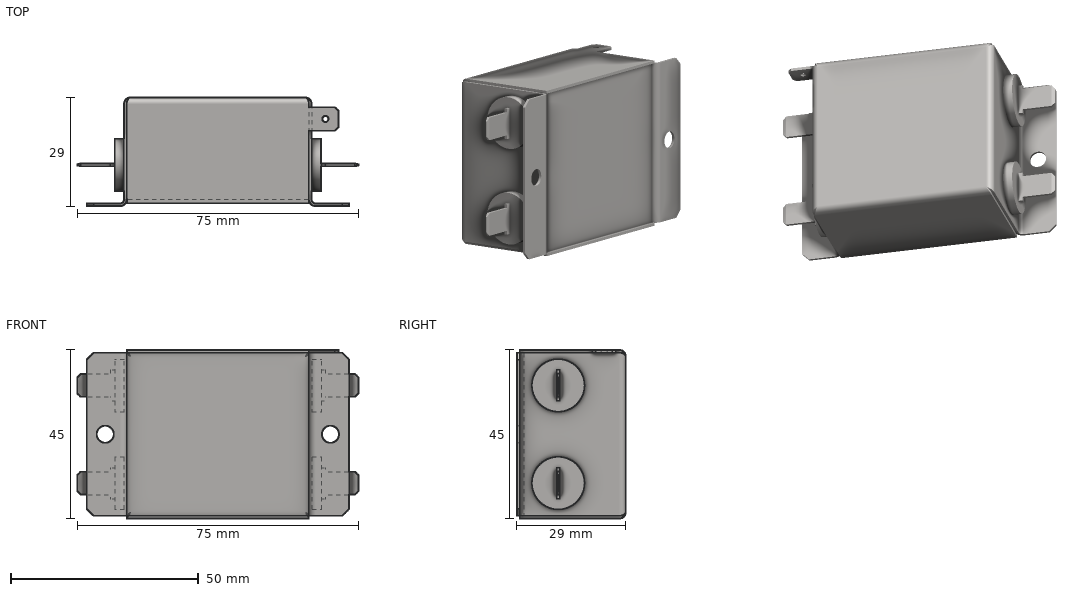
import cadquery as cq

overall_length = 75.0
overall_depth = 29.0
overall_height = 45.0
sheet = 0.75
can_length = 50.0
bend_radius = 1.8
inner_bend_radius = bend_radius - sheet
core_length = can_length - 2 * sheet
core_height = overall_height - 2 * sheet
bend_start = overall_depth - bend_radius

flange_span = 70.0
flange_corner = 1.9
mounting_hole_diameter = 4.5
mounting_hole_spacing = 60.0

ground_tab_tip = 32.2
ground_tab_width = 6.3
ground_tab_center = 23.25
ground_tab_corner = 1.0
ground_hole_diameter = 1.6
ground_hole_inset = 3.5

terminal_center = 11.0
terminal_spacing = 26.0
bushing_diameter = 14.0
bushing_height = 2.5
blade_thickness = 0.8
blade_width = 6.15
blade_corner = 1.0
blade_tip_bevel = 0.26
shoulder_width = 8.25
shoulder_height = 1.1


def block(length, height, y_start, y_end):
    """Box centred in X and Z between two Y positions."""
    depth = y_end - y_start
    return cq.Workplane("XY").box(length, depth, height).translate((0, y_start + depth / 2, 0))


def tapered_block(plane, width, span):
    """Can-deep block, width across and span along the plane's normal.

    Its back corners are quarter ellipses, so a wall trimmed to it narrows as it bends.
    """
    half_width = width / 2
    return (
        cq.Workplane(plane)
        .workplane(offset=-span / 2)
        .moveTo(half_width, sheet)
        .lineTo(half_width, bend_start)
        .ellipseArc(inner_bend_radius, bend_radius, 0, 90, sense=1)
        .lineTo(inner_bend_radius - half_width, overall_depth)
        .ellipseArc(inner_bend_radius, bend_radius, 90, 180, sense=1)
        .lineTo(-half_width, sheet)
        .close()
        .extrude(span)
    )


def can():
    envelope = block(can_length, overall_height, sheet, overall_depth)
    bent_ends = envelope.edges("|Z and >Y").fillet(bend_radius)
    bent_sides = envelope.edges("|X and >Y").fillet(bend_radius)

    end_walls = bent_ends.intersect(tapered_block("ZY", core_height, can_length))
    side_plates = bent_sides.intersect(tapered_block("XY", core_length, overall_height))

    front_recess = block(can_length, core_height, sheet, bend_radius)
    return end_walls.union(side_plates).cut(front_recess)


def flange():
    """+X mounting flange with the bend that joins it to the end wall."""
    bend_x = can_length / 2 - sheet + bend_radius
    tip_x = flange_span / 2
    plate = (
        cq.Workplane("XZ")
        .center((bend_x + tip_x) / 2, 0)
        .rect(tip_x - bend_x, core_height)
        .extrude(-sheet)
        .edges("|Y and >X")
        .chamfer(flange_corner)
    )
    hole = (
        cq.Workplane("XZ")
        .center(mounting_hole_spacing / 2, 0)
        .circle(mounting_hole_diameter / 2)
        .extrude(-sheet)
    )
    bend = (
        cq.Workplane("XY", origin=(bend_x, bend_radius, -core_height / 2))
        .moveTo(-bend_radius, 0)
        .radiusArc((0, -bend_radius), -bend_radius)
        .lineTo(0, -inner_bend_radius)
        .radiusArc((-inner_bend_radius, 0), inner_bend_radius)
        .close()
        .extrude(core_height)
    )
    return plate.cut(hole).union(bend)


def ground_tab():
    root_x = core_length / 2 - sheet
    length = ground_tab_tip - root_x
    tab = (
        cq.Workplane("XY", origin=(root_x + length / 2, ground_tab_center, core_height / 2))
        .rect(length, ground_tab_width)
        .extrude(sheet)
        .edges("|Z and >X")
        .chamfer(ground_tab_corner)
    )
    hole = (
        cq.Workplane("XY", origin=(ground_tab_tip - ground_hole_inset, ground_tab_center, core_height / 2))
        .circle(ground_hole_diameter / 2)
        .extrude(sheet)
    )
    return tab.cut(hole)


def terminal(z):
    """Terminal on the +X end wall at the given height."""
    wall_x = can_length / 2
    bushing_face = wall_x + bushing_height
    wall = cq.Workplane("YZ", origin=(wall_x, terminal_center, z))
    bushing = wall.circle(bushing_diameter / 2).extrude(bushing_height)

    base = wall.workplane(offset=bushing_height)
    shoulder = base.rect(blade_thickness, shoulder_width).extrude(shoulder_height)
    blade = base.rect(blade_thickness, blade_width).extrude(overall_length / 2 - bushing_face)
    blade = blade.edges("|Y and >X").chamfer(blade_corner)
    blade = blade.faces(">X").edges("|Z").chamfer(blade_corner, blade_tip_bevel)
    return bushing.union(shoulder).union(blade)


end_fittings = flange()
for terminal_z in (-terminal_spacing / 2, terminal_spacing / 2):
    end_fittings = end_fittings.union(terminal(terminal_z))

result = can().union(end_fittings).union(end_fittings.mirror("YZ")).union(ground_tab())